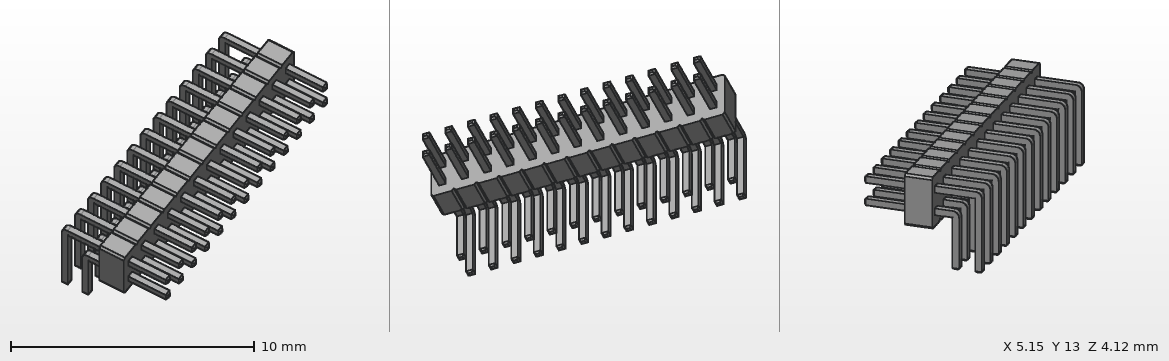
import cadquery as cq


overall_x = 5.15
overall_y = 13.0
overall_z = 4.12

pin_count = 13
pitch = overall_y / pin_count
pin_width = 0.3
tip_chamfer = 0.08
bend_radius = 0.27

body_width = 1.2
body_height = 2.3
body_start_x = 2.05
body_bottom_z = overall_z - body_height
notch_chamfer = 0.1

body_middle_z = body_bottom_z + body_height / 2
outer_row_z = body_middle_z + pitch / 2
inner_row_z = body_middle_z - pitch / 2


def body_segment(center_y):
    """One pin position of the body, with its four long edges chamfered."""
    return (
        cq.Workplane("XY")
        .box(body_width, pitch, body_height)
        .edges("|X")
        .chamfer(notch_chamfer)
        .translate((body_start_x + body_width / 2, center_y, body_middle_z))
    )


def bent_pin(leg_x, center_y, center_z):
    """A square L-shaped pin: leg down from leg_x, arm out to the mating end."""
    top_z = center_z + pin_width / 2
    arm_length = overall_x - leg_x
    pin = (
        cq.Workplane("XZ", origin=(leg_x, center_y, 0))
        .lineTo(pin_width, 0)
        .lineTo(pin_width, top_z - pin_width)
        .lineTo(arm_length, top_z - pin_width)
        .lineTo(arm_length, top_z)
        .lineTo(bend_radius, top_z)
        .radiusArc((0, top_z - bend_radius), -bend_radius)
        .close()
        .extrude(pin_width / 2, both=True)
    )
    pin = pin.faces("<Z").chamfer(tip_chamfer)
    return pin.faces(">X").chamfer(tip_chamfer)


result = cq.Workplane("XY")
for index in range(pin_count):
    center_y = (index + 0.5) * pitch - overall_y / 2
    result = result.union(body_segment(center_y))
    result = result.union(bent_pin(0, center_y, outer_row_z))
    result = result.union(bent_pin(pitch, center_y, inner_row_z))